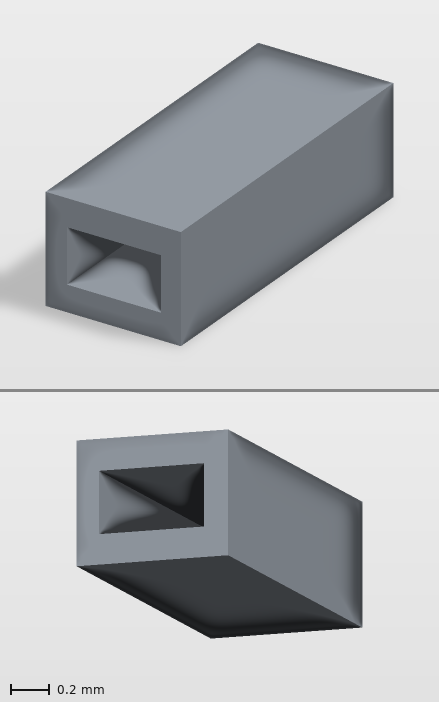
import cadquery as cq

width = 0.83
length = 2.0
height = 0.66

left_wall = 0.132
right_wall = 0.122
bottom_wall = 0.16
top_wall = 0.168

opening_width = width - left_wall - right_wall
opening_height = height - bottom_wall - top_wall

block = cq.Workplane("XY").box(width, length, height, centered=False)

opening = (
    cq.Workplane("XY")
    .box(opening_width, length, opening_height, centered=False)
    .translate((left_wall, 0, bottom_wall))
)

result = block.cut(opening)